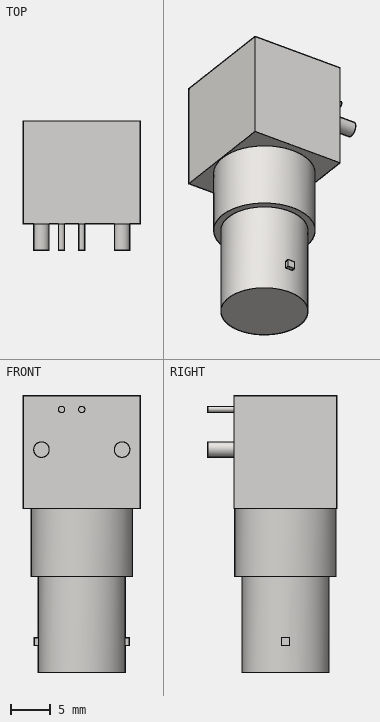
import cadquery as cq

total_height = 34.9
block_width = 14.8
block_depth = 13.0
block_height = 14.25

collar_diameter = 12.8
collar_height = 8.55
barrel_diameter = 11.0
barrel_height = total_height - block_height - collar_height

lug_span = 12.0
lug_size = 1.0
lug_center_height = 3.9

pin_length = 3.3
contact_diameter = 0.8
contact_pitch = 2.55
contact_drop = 1.75
post_diameter = 1.95
post_spacing = 10.15
post_drop = 6.8


def make_block():
    return (
        cq.Workplane("XY", origin=(0, 0, total_height - block_height))
        .box(block_width, block_depth, block_height, centered=(True, True, False))
    )


def make_barrel():
    return (
        cq.Workplane("XY")
        .circle(barrel_diameter / 2)
        .extrude(barrel_height)
        .faces(">Z")
        .workplane()
        .circle(collar_diameter / 2)
        .extrude(collar_height)
    )


def make_lugs():
    return cq.Workplane("XY", origin=(0, 0, lug_center_height)).box(lug_span, lug_size, lug_size)


def make_pins(diameter, x_positions, drop):
    """Round pins out of the front face, at a distance below the block top."""
    return (
        cq.Workplane("XZ", origin=(0, -block_depth / 2, total_height - drop))
        .pushPoints([(x, 0) for x in x_positions])
        .circle(diameter / 2)
        .extrude(pin_length)
    )


contacts = make_pins(contact_diameter, [-contact_pitch, 0], contact_drop)
posts = make_pins(post_diameter, [-post_spacing / 2, post_spacing / 2], post_drop)

result = make_block().union(make_barrel()).union(make_lugs()).union(contacts).union(posts)